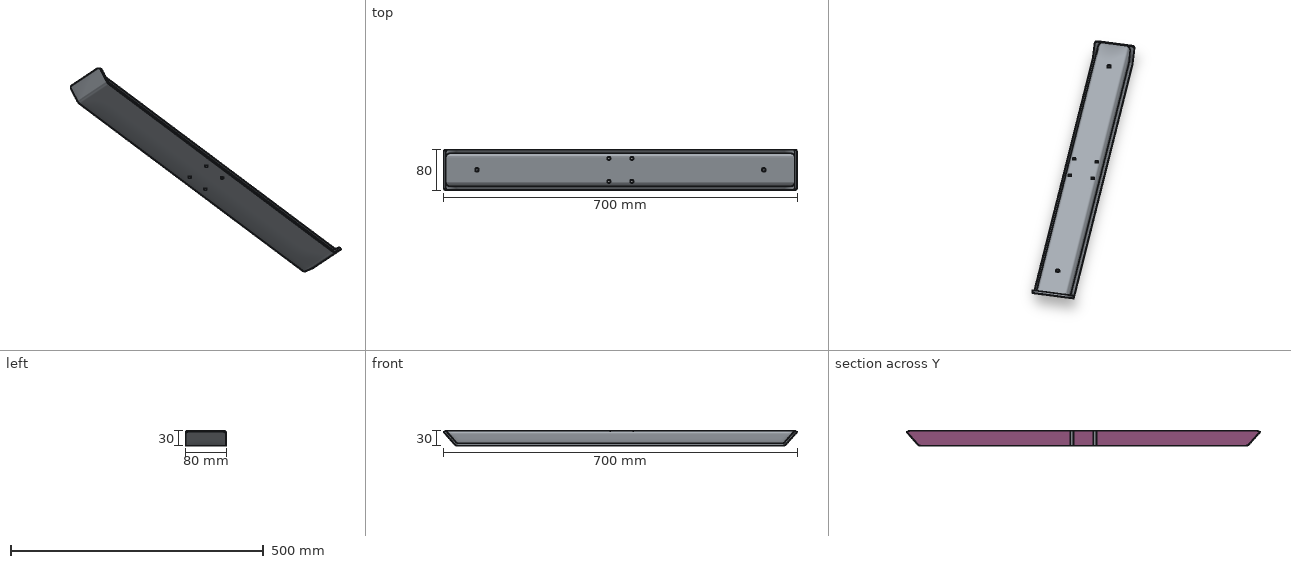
import cadquery as cq
import math

LENGTH = 700.0
WIDTH = 80.0
HEIGHT = 30.0

FLANGE_THICKNESS = 5.0
FLANGE_DEPTH = 7.0
FLANGE_CORNER_RADIUS = 5.0
END_SLOPE = math.radians(48.5)
END_CUT_TILT = math.radians(27)
INNER_BEND_RADIUS = 5.0
OUTER_BEND_RADIUS = INNER_BEND_RADIUS + FLANGE_THICKNESS

BODY_FOOT_WIDTH = WIDTH - 2 * FLANGE_DEPTH
BODY_EDGE_RADIUS = 8.0
WALL_LEAN = math.radians(2)

CENTRE_HOLE_DIAMETER = 6.0
CENTRE_HOLE_SPACING = 45.5

END_HOLE_DIAMETER = 7.5
END_HOLE_SPACING = 568.0
END_HOLE_DEPTH = 10.0

END_CUT_RUN = FLANGE_THICKNESS / (
    math.sin(END_SLOPE) + math.cos(END_SLOPE) * math.tan(END_CUT_TILT)
)
TIP_X = LENGTH / 2
TIP_Z = HEIGHT - END_CUT_RUN * math.tan(END_CUT_TILT)
TOP_X = TIP_X - END_CUT_RUN
BOTTOM_X = TIP_X - TIP_Z / math.tan(END_SLOPE)
INNER_X = TOP_X - (HEIGHT - FLANGE_THICKNESS) / math.tan(END_SLOPE)


def make_prism(right_half, bend_radius):
    """Full-width prism whose front outline is mirrored from its right half, with rounded bottom bends."""
    left_half = [(-x, z) for x, z in reversed(right_half)]
    prism = cq.Workplane("XZ").polyline(right_half + left_half).close().extrude(WIDTH / 2, both=True)
    return prism.faces("<Z").edges("|Y").fillet(bend_radius)


def make_flange_block():
    """Solid block with sloping ends whose four upper tips have rounded corners."""
    block = make_prism([(BOTTOM_X, 0), (TIP_X, TIP_Z), (TOP_X, HEIGHT)], OUTER_BEND_RADIUS)
    for side in (1, -1):
        outward = cq.Vector(side * math.sin(END_CUT_TILT), 0, math.cos(END_CUT_TILT))
        end_cut_face = block.faces(cq.DirectionMinMaxSelector(outward))
        block = end_cut_face.edges("<Y or >Y").fillet(FLANGE_CORNER_RADIUS)
    return block


def make_body_bar():
    """Straight bar with the raised body's cross-section: leaning walls and rounded top edges."""
    foot_y = BODY_FOOT_WIDTH / 2
    top_y = foot_y - (HEIGHT - FLANGE_THICKNESS) * math.tan(WALL_LEAN)
    section = [
        (-foot_y, FLANGE_THICKNESS),
        (foot_y, FLANGE_THICKNESS),
        (top_y, HEIGHT),
        (-top_y, HEIGHT),
    ]
    bar = cq.Workplane("YZ").polyline(section).close().extrude(LENGTH / 2, both=True)
    return bar.faces(">Z").edges("|X").fillet(BODY_EDGE_RADIUS)


def make_side_recesses():
    """Material to remove between the flanges and the raised body on both long sides."""
    inside_flange = make_prism([(INNER_X, FLANGE_THICKNESS), (TOP_X, HEIGHT)], INNER_BEND_RADIUS)
    return inside_flange.cut(make_body_bar())


def make_holes():
    """Four through holes around the centre and one blind hole near each end, bored from the top."""
    top = cq.Workplane("XY").workplane(offset=HEIGHT)
    centre_holes = (
        top.rect(CENTRE_HOLE_SPACING, CENTRE_HOLE_SPACING, forConstruction=True)
        .vertices()
        .circle(CENTRE_HOLE_DIAMETER / 2)
        .extrude(-HEIGHT)
    )
    end_holes = (
        top.pushPoints([(-END_HOLE_SPACING / 2, 0), (END_HOLE_SPACING / 2, 0)])
        .circle(END_HOLE_DIAMETER / 2)
        .extrude(-END_HOLE_DEPTH)
    )
    return centre_holes.union(end_holes)


result = make_flange_block().cut(make_side_recesses()).cut(make_holes())